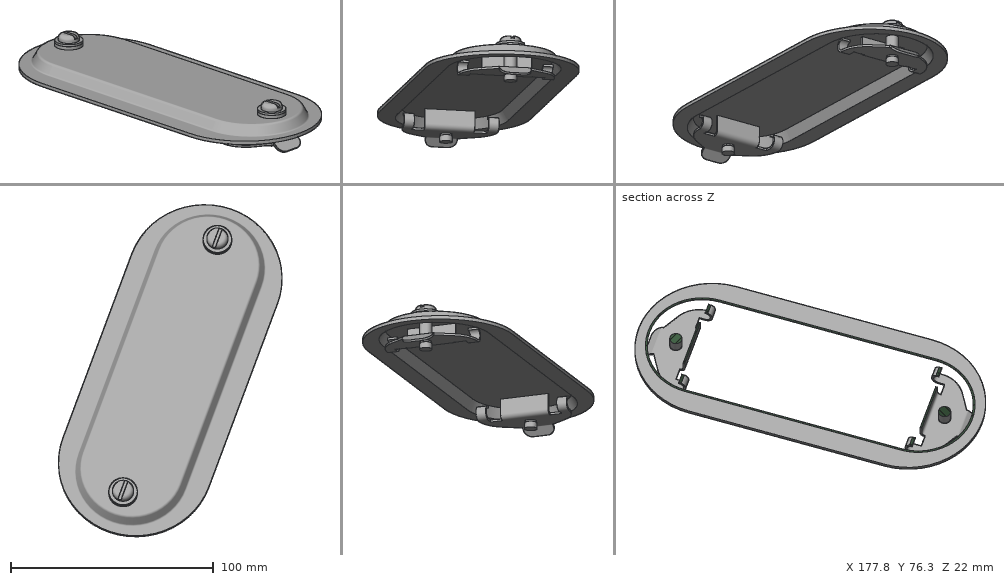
import cadquery as cq
import math

length = 177.8
width = 76.3
sheet = 1.8
cover_height = 7.0
dome_end_inset = 4.3
dome_side_inset = 9.5
dome_slope = 60.0
dome_top_fillet = 1.6
dome_foot_fillet = 1.0

screw_x = 69.5
shaft_diameter = 6.2
shaft_bottom = -9.0
neck_diameter = 5.9
neck_play = 0.9
head_diameter = 10.5
head_flat_diameter = 6.0
head_top = 13.0
slot_width = 1.6
slot_depth = 1.6
gasket_diameter = 14.2
gasket_thickness = 1.69
washer_diameter = 14.0
washer_thickness = 1.0

strip = 1.0
clip_top = -4.1
clip_width = 48.0
clip_corner_radius = 15.1
clip_side_angle = 30.0
curl_x = 9.0
curl_inner_radius = 2.7
curl_sweep = 180.0
curl_width = 5.2
stop_width = 25.2
stop_outer_x = 8.7
stop_bend_radius = 1.6
tongue_width = 16.0
tongue_length = 5.3
tongue_angle = 41.0
tongue_bend_radius = 0.7
tongue_corner_radius = 4.3

clip_bottom = clip_top - strip
gasket_top = cover_height + gasket_thickness
washer_top = gasket_top + washer_thickness


def disc(diameter, bottom, top):
    return cq.Workplane("XY").workplane(offset=bottom).circle(diameter / 2).extrude(top - bottom)


def stadium(overall_length, overall_width, bottom, height, draft=0.0):
    base = cq.Workplane("XY").workplane(offset=bottom).slot2D(overall_length, overall_width)
    return base.extrude(height, taper=draft)


def box_between(x_range, y_range, z_range):
    size = [high - low for low, high in (x_range, y_range, z_range)]
    return cq.Workplane("XY").box(*size, centered=False).translate((x_range[0], y_range[0], z_range[0]))


def build_cover():
    draft = 90.0 - dome_slope
    rise = cover_height - sheet
    foot_reach = dome_foot_fillet * math.tan(math.radians(dome_slope / 2))
    foot_length = length - 2 * (dome_end_inset + foot_reach)
    foot_width = width - 2 * (dome_side_inset + foot_reach)

    rim = stadium(length, width, 0, sheet)
    dome = stadium(foot_length, foot_width, sheet, rise, draft)
    cover = rim.union(dome)
    cover = cover.faces(">Z").edges().fillet(dome_top_fillet)
    rim_face = next(face for face in cover.faces("|Z").vals() if face.innerWires())
    cover = cover.newObject(rim_face.innerWires()[0].Edges()).fillet(dome_foot_fillet)

    wall_shift = sheet * math.tan(math.radians(dome_slope / 2))
    hollow_foot = wall_shift - sheet / math.tan(math.radians(dome_slope))
    hollow_length = foot_length - 2 * hollow_foot
    hollow_width = foot_width - 2 * hollow_foot
    cover = cover.cut(stadium(hollow_length, hollow_width, 0, rise, draft))

    for side in (-1, 1):
        hole = disc(shaft_diameter, 0, cover_height).translate((side * screw_x, 0, 0))
        cover = cover.cut(hole)
    return cover


def ring(diameter, bottom, top):
    return disc(diameter, bottom, top).cut(disc(shaft_diameter, bottom, top))


def build_screw():
    neck_bottom = clip_bottom - neck_play
    round_over = (head_diameter - head_flat_diameter) / 2
    head_radius = head_diameter / 2
    arc_drop = round_over * (1 - math.sqrt(0.5))
    head = (
        cq.Workplane("XZ")
        .moveTo(0, washer_top)
        .lineTo(head_radius, washer_top)
        .lineTo(head_radius, head_top - round_over)
        .threePointArc((head_radius - arc_drop, head_top - arc_drop), (head_radius - round_over, head_top))
        .lineTo(0, head_top)
        .close()
        .revolve(360, (0, 0, 0), (0, 1, 0))
    )
    slot = cq.Workplane("XY").box(head_diameter, slot_width, 2 * slot_depth)
    head = head.cut(slot.translate((0, 0, head_top)))

    shaft = disc(shaft_diameter, clip_top, washer_top)
    neck = disc(neck_diameter, neck_bottom, clip_top)
    tip = disc(shaft_diameter, shaft_bottom, neck_bottom)
    return head.union(shaft).union(neck).union(tip)


def strip_bend(center, inner_radius, start_angle, end_angle, y_range):
    """Bent stretch of strip around an axis along Y; angles run from +X towards +Z."""

    def at(radius, angle):
        turn = math.radians(angle)
        return (center[0] + radius * math.cos(turn), center[1] + radius * math.sin(turn))

    outer_radius = inner_radius + strip
    middle_angle = (start_angle + end_angle) / 2
    profile = (
        cq.Workplane("XZ", origin=(0, y_range[1], 0))
        .moveTo(*at(inner_radius, start_angle))
        .lineTo(*at(outer_radius, start_angle))
        .threePointArc(at(outer_radius, middle_angle), at(outer_radius, end_angle))
        .lineTo(*at(inner_radius, end_angle))
        .threePointArc(at(inner_radius, middle_angle), at(inner_radius, start_angle))
        .close()
    )
    return profile.extrude(y_range[1] - y_range[0])


def build_clip_plate(stop_bend_x):
    half_width = clip_width / 2
    half_tongue = tongue_width / 2
    arc_center_y = half_width - clip_corner_radius

    def on_corner(angle):
        turn = math.radians(angle)
        return (
            curl_x - clip_corner_radius * math.cos(turn),
            arc_center_y + clip_corner_radius * math.sin(turn),
        )

    corner = on_corner(clip_side_angle)
    corner_middle = on_corner((clip_side_angle + 90) / 2)
    tongue_x = corner[0] - (corner[1] - half_tongue) * math.tan(math.radians(clip_side_angle))
    plate = (
        cq.Workplane("XY", origin=(0, 0, clip_bottom))
        .moveTo(curl_x, -half_width)
        .threePointArc((corner_middle[0], -corner_middle[1]), (corner[0], -corner[1]))
        .lineTo(tongue_x, -half_tongue)
        .lineTo(tongue_x, half_tongue)
        .lineTo(*corner)
        .threePointArc(corner_middle, (curl_x, half_width))
        .close()
        .extrude(strip)
    )
    inner_half = half_width - curl_width
    gap = box_between((stop_bend_x, curl_x), (-inner_half, inner_half), (clip_bottom, clip_top))
    return plate.cut(gap).cut(disc(neck_diameter, clip_bottom, clip_top)), tongue_x


def build_tongue(tongue_x):
    half_tongue = tongue_width / 2
    bend_center = (tongue_x, clip_bottom - tongue_bend_radius)
    bend = strip_bend(
        bend_center, tongue_bend_radius, 90, 90 + tongue_angle, (-half_tongue, half_tongue)
    )
    flat = box_between((-tongue_length, 0), (-half_tongue, half_tongue), (0, strip))
    flat = flat.edges("|Z and <X").fillet(tongue_corner_radius)
    flat = flat.translate((0, 0, tongue_bend_radius))
    flat = flat.rotate((0, 0, 0), (0, 1, 0), -tongue_angle)
    return bend.union(flat.translate((bend_center[0], 0, bend_center[1])))


def build_clip():
    stop_bend_x = stop_outer_x - strip - stop_bend_radius
    plate, tongue_x = build_clip_plate(stop_bend_x)
    clip = plate.union(build_tongue(tongue_x))

    stop_range = (-stop_width / 2, stop_width / 2)
    stop_bend_z = clip_top + stop_bend_radius
    clip = clip.union(strip_bend((stop_bend_x, stop_bend_z), stop_bend_radius, -90, 0, stop_range))
    upright_z = (stop_bend_z, cover_height - sheet)
    clip = clip.union(box_between((stop_outer_x - strip, stop_outer_x), stop_range, upright_z))

    curl_center = (curl_x, clip_top + curl_inner_radius)
    for curl_y in (-clip_width / 2, clip_width / 2 - curl_width):
        y_range = (curl_y, curl_y + curl_width)
        clip = clip.union(strip_bend(curl_center, curl_inner_radius, -90, curl_sweep - 90, y_range))
    return clip


def at_both_ends(body):
    """Copies of a body at both screws, each turned so that its +X points to the middle."""
    copies = []
    for turn, x in ((0, -screw_x), (180, screw_x)):
        copies.append(body.rotate((0, 0, 0), (0, 0, 1), turn).translate((x, 0, 0)).solids().val())
    return copies


cover = build_cover()
gaskets = at_both_ends(ring(gasket_diameter, cover_height, gasket_top))
washers = at_both_ends(ring(washer_diameter, gasket_top, washer_top))
screws = at_both_ends(build_screw())
clips = at_both_ends(build_clip())

result = cq.Compound.makeCompound([cover.solids().val(), *gaskets, *washers, *screws, *clips])